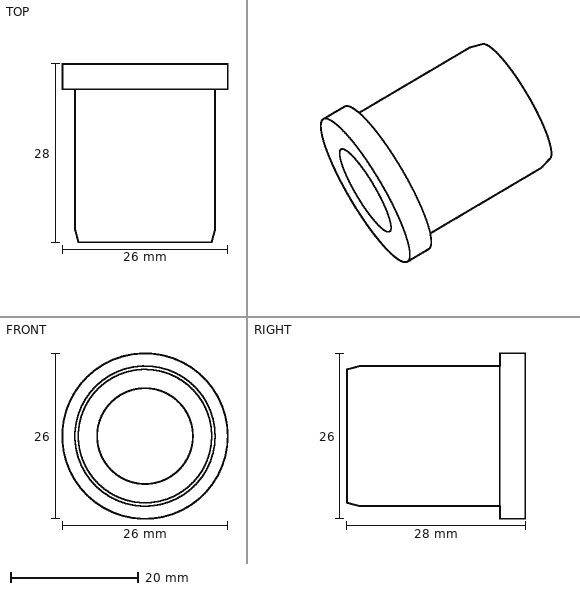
import cadquery as cq
import math

total_length = 28.0
flange_diameter = 26.0
flange_thickness = 4.0
body_diameter = 22.0
bore_diameter = 15.0

taper_length = 2.0
taper_angle = 15.0

flange_radius = flange_diameter / 2
body_radius = body_diameter / 2
bore_radius = bore_diameter / 2
tip_radius = body_radius - taper_length * math.tan(math.radians(taper_angle))
flange_start = total_length - flange_thickness

half_section = [
    (bore_radius, 0),
    (tip_radius, 0),
    (body_radius, taper_length),
    (body_radius, flange_start),
    (flange_radius, flange_start),
    (flange_radius, total_length),
    (bore_radius, total_length),
]

result = (
    cq.Workplane("XY")
    .polyline(half_section)
    .close()
    .revolve(360, (0, 0, 0), (0, 1, 0))
)